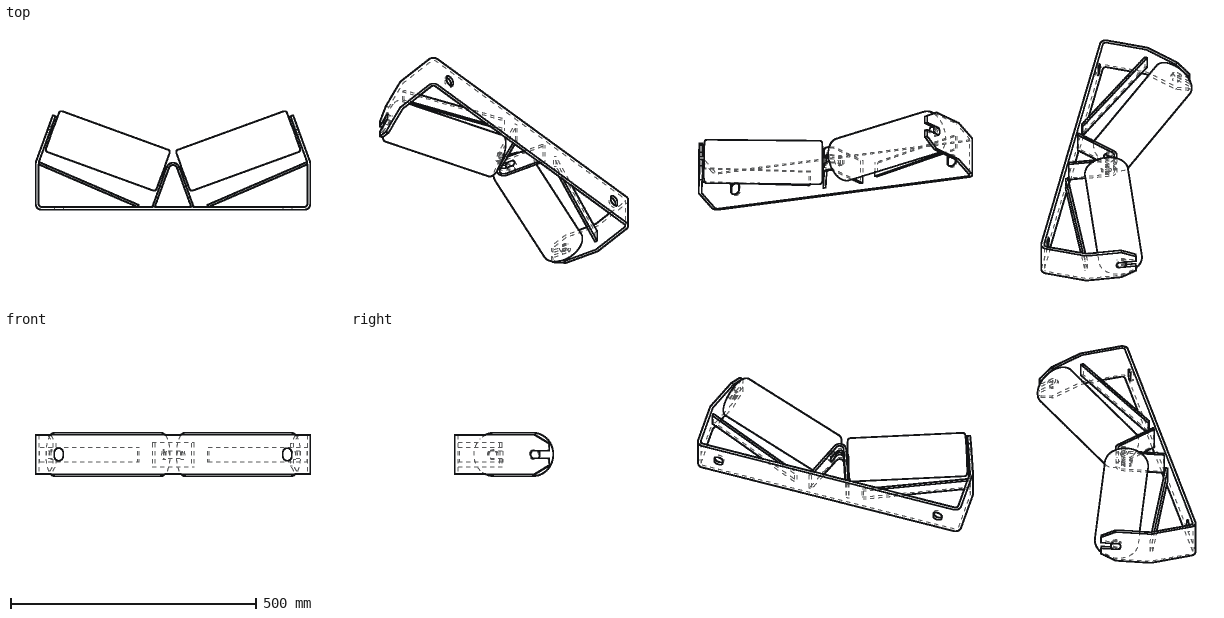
import cadquery as cq
import math


frame_length = 560.0
frame_height = 80.0
tilt = math.radians(20.0)

frame_thickness = 6.0
frame_bend_radius = 12.5
wall_top = 94.5
flange_length = 100.0
flange_chamfer_length = 30.0
flange_chamfer_height = 17.5

mount_slot_width = 18.0
mount_slot_height = 26.0
mount_slot_edge = 47.0

bracket_height = 50.0
bracket_thickness = 5.0
bracket_top = 96.5
bracket_bend_radius = 13.5

strut_thickness = 5.0
strut_height = 30.0
strut_angle = math.radians(23.3)
strut_foot_x = 73.5
strut_foot_cut = math.radians(45.0)

roller_diameter = 89.0
roller_length = 240.0
roller_edge_radius = 5.5
roller_gap = 4.0
axle_diameter = 20.0
axle_flat_width = 15.5
axle_flat_clearance = 1.0
axle_height = 70.0

half_length = frame_length / 2
frame_inner_radius = frame_bend_radius - frame_thickness
bracket_inner_radius = bracket_bend_radius - bracket_thickness
sin_tilt = math.sin(tilt)
cos_tilt = math.cos(tilt)

lean = cq.Vector(-sin_tilt, cos_tilt)
outward = cq.Vector(cos_tilt, sin_tilt)

wall_bend_centre = cq.Vector(half_length - frame_bend_radius, wall_top)
flange_root = wall_bend_centre + outward * frame_bend_radius
axle_outer_end = flange_root + lean * axle_height

bracket_bend_centre = cq.Vector(0, bracket_top - bracket_bend_radius)
bracket_leg_face = bracket_bend_centre.dot(outward) + bracket_bend_radius
axle_outer_station = axle_outer_end.dot(outward)
axle_bracket_point = axle_outer_end - outward * (axle_outer_station - bracket_leg_face)
axle_inner_end = axle_bracket_point - outward * bracket_thickness
axle_length = axle_outer_station - axle_inner_end.dot(outward)


def point_on_arc(centre, radius, angle):
    return (centre.x + radius * math.cos(angle), centre.y + radius * math.sin(angle))


def plate_plane(origin):
    """Plane of a right-hand leaning plate: local x up the plate, local y along -Z, normal outwards."""
    return cq.Workplane(cq.Plane(origin=origin.toTuple(), xDir=lean.toTuple(), normal=outward.toTuple()))


def flatted_bar(origin, length):
    """Round bar with two flats facing +Z and -Z, running inwards from the origin."""
    bar = plate_plane(origin).circle(axle_diameter / 2).extrude(-length)
    flats = plate_plane(origin).rect(axle_diameter, axle_flat_width).extrude(-length)
    return bar.intersect(flats)


def axle_slot(origin, reach, depth):
    """Open-ended slot that takes an axle end; it runs from the axle up the leaning plate."""
    channel = (
        plate_plane(origin)
        .center(reach / 2, 0)
        .rect(reach, axle_flat_width)
        .extrude(-depth)
    )
    return channel.union(flatted_bar(origin, depth))


def mirrored(body):
    return body.mirror("YZ")


def bent_sheet(half_outline, height):
    """Bent sheet body from the right half of its symmetric outline."""
    return half_outline.mirrorY().extrude(height / 2, both=True)


def flange_corner_cuts():
    cuts = cq.Workplane("XY")
    half_height = frame_height / 2
    for side in (1, -1):
        cuts = cuts.add(
            plate_plane(flange_root)
            .moveTo(flange_length, side * half_height)
            .lineTo(flange_length - flange_chamfer_length, side * half_height)
            .lineTo(flange_length, side * (half_height - flange_chamfer_height))
            .close()
            .extrude(-frame_thickness)
        )
    return cuts.combine()


def mount_slots():
    """Upright round-ended slots through the base."""
    mount_x = half_length - mount_slot_edge
    return (
        cq.Workplane("XZ")
        .pushPoints([(-mount_x, 0), (mount_x, 0)])
        .slot2D(mount_slot_height, mount_slot_width, 90)
        .extrude(-frame_thickness)
    )


def make_frame():
    corner = cq.Vector(half_length - frame_bend_radius, frame_bend_radius)
    inner_wall = half_length - frame_thickness
    flange_end = flange_root + lean * flange_length
    flange_end_inner = flange_end - outward * frame_thickness
    flange_root_inner = flange_root - outward * frame_thickness
    corner_mid = math.radians(-45)
    outline = (
        cq.Workplane("XY")
        .moveTo(0, 0)
        .lineTo(corner.x, 0)
        .threePointArc(point_on_arc(corner, frame_bend_radius, corner_mid), (half_length, corner.y))
        .lineTo(half_length, wall_top)
        .threePointArc(point_on_arc(wall_bend_centre, frame_bend_radius, tilt / 2), flange_root.toTuple()[:2])
        .lineTo(flange_end.x, flange_end.y)
        .lineTo(flange_end_inner.x, flange_end_inner.y)
        .lineTo(flange_root_inner.x, flange_root_inner.y)
        .threePointArc(point_on_arc(wall_bend_centre, frame_inner_radius, tilt / 2), (inner_wall, wall_top))
        .lineTo(inner_wall, corner.y)
        .threePointArc(point_on_arc(corner, frame_inner_radius, corner_mid), (corner.x, frame_thickness))
        .lineTo(0, frame_thickness)
    )
    flange_cuts = flange_corner_cuts().union(axle_slot(axle_outer_end, flange_length, frame_thickness))
    return bent_sheet(outline, frame_height).cut(mount_slots()).cut(flange_cuts).cut(mirrored(flange_cuts))


def leg_foot_x(radius):
    """X where the leg surface tangent to the given crown radius meets the base."""
    station = bracket_bend_centre.dot(outward) + radius
    return (station - frame_thickness * sin_tilt) / cos_tilt


def make_bracket():
    crown_mid = (tilt + math.pi / 2) / 2
    centre = bracket_bend_centre
    outline = (
        cq.Workplane("XY")
        .moveTo(0, bracket_top)
        .threePointArc(
            point_on_arc(centre, bracket_bend_radius, crown_mid),
            point_on_arc(centre, bracket_bend_radius, tilt),
        )
        .lineTo(leg_foot_x(bracket_bend_radius), frame_thickness)
        .lineTo(leg_foot_x(bracket_inner_radius), frame_thickness)
        .lineTo(*point_on_arc(centre, bracket_inner_radius, tilt))
        .threePointArc(
            point_on_arc(centre, bracket_inner_radius, crown_mid),
            (0, bracket_top - bracket_thickness),
        )
    )
    slot = axle_slot(axle_bracket_point, bracket_top, bracket_bend_radius)
    return bent_sheet(outline, bracket_height).cut(slot).cut(mirrored(slot))


def make_strut(frame):
    slope = math.tan(strut_angle)
    rise_of_thickness = strut_thickness / math.cos(strut_angle)
    foot_run = rise_of_thickness / (math.tan(strut_foot_cut) + slope)
    foot_rise = foot_run * math.tan(strut_foot_cut)
    blank_end = half_length - frame_thickness / 2
    lower_rise = (blank_end - strut_foot_x) * slope
    outline = (
        cq.Workplane("XY")
        .moveTo(strut_foot_x, frame_thickness)
        .lineTo(blank_end, frame_thickness + lower_rise)
        .lineTo(blank_end, frame_thickness + lower_rise + rise_of_thickness)
        .lineTo(strut_foot_x - foot_run, frame_thickness + foot_rise)
        .close()
    )
    return outline.extrude(strut_height / 2, both=True).cut(frame)


def make_roller():
    shell_start = axle_outer_end - outward * (frame_thickness + roller_gap)
    shell = (
        plate_plane(shell_start)
        .circle(roller_diameter / 2)
        .extrude(-roller_length)
        .edges()
        .fillet(roller_edge_radius)
    )
    shoulder = axle_outer_end - outward * (frame_thickness + axle_flat_clearance)
    shoulder_length = axle_length - frame_thickness - bracket_thickness - 2 * axle_flat_clearance
    axle = plate_plane(shoulder).circle(axle_diameter / 2).extrude(-shoulder_length)
    return shell.union(axle).union(flatted_bar(axle_outer_end, axle_length))


frame = make_frame()
bracket = make_bracket()
strut = make_strut(frame)
roller = make_roller()

bodies = [frame.solids().val(), bracket.solids().val()]
for side_body in (strut, roller):
    for placed in (side_body, mirrored(side_body)):
        bodies.append(placed.solids().val())
result = cq.Compound.makeCompound(bodies)